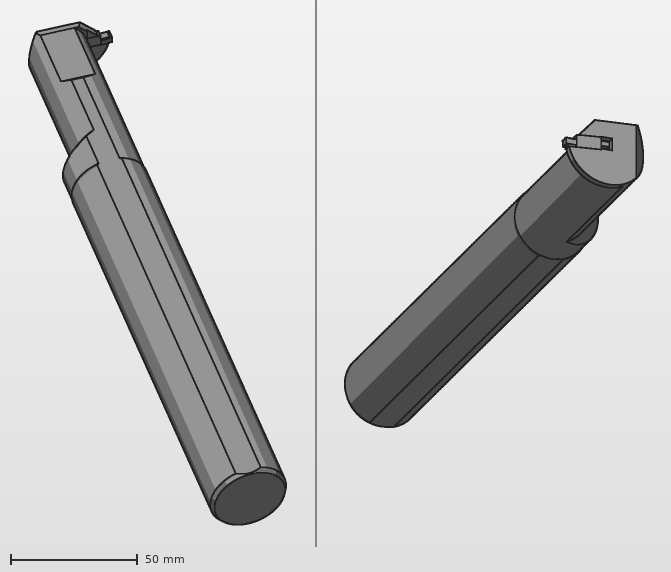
import cadquery as cq


length = 250.0
shank_radius = 15.88
flat_height = 15.0
shank_start = 76.8
shank_bevel = 0.8
end_chamfer_length = 2.0
end_chamfer_depth = 1.12

neck_radius = 15.62
head_radius = 17.2
head_center_y = 8.0
head_end = 59.5
cone_length = 15.0

relief_height = 12.2
relief_tilt = 3.0
relief_end = 29.2
nose_length = 3.8
nose_drop = 1.8
side_chamfer = 5.2

blade_thickness = 3.0
shoulder_thickness = 4.0
slope_low = (20.2, 2.5)
slope_high = (12.5, 11.2)

total_width = 42.0
insert_tip_y = total_width - shank_radius
tip_back_y = 21.5
tip_width = 3.8
chip_groove_y = 23.0
chip_groove_depth = 0.2
tip_bottom_z = -2.62
insert_front_top_z = 2.0
insert_rear_y = 11.0
insert_rear_top_z = 2.8
insert_rear_bottom_z = -2.62
seat_front_y = 25.2
seat_front_z = -3.8
tail_end_y = 7.2
tail_bottom_z = -0.5
tail_top_z = 1.5
tail_recess = 0.8
tip_side_relief = 0.12
relief_slot_y = 6.2
relief_slot_bottom = -2.2
relief_slot_top = 3.0

cut_size = 75.0


def cylinder_x(radius, start, end, center_y=0.0):
    """Cylinder along X between two stations."""
    return cq.Workplane("YZ", origin=(start, center_y, 0)).circle(radius).extrude(end - start)


def prism_x(points, start, end):
    """Polygon given in (Y, Z), extruded along X."""
    return cq.Workplane("YZ", origin=(start, 0, 0)).polyline(points).close().extrude(end - start)


def make_shank():
    end_radius = shank_radius - end_chamfer_depth
    profile = [
        (shank_start, 0),
        (shank_start, neck_radius),
        (shank_start + shank_bevel, shank_radius),
        (length - end_chamfer_length, shank_radius),
        (length, end_radius),
        (length, 0),
    ]
    shank = cq.Workplane("XY").polyline(profile).close().revolve(360, (0, 0, 0), (1, 0, 0))
    flats = cq.Workplane("XY").box(2 * length, cut_size, 2 * flat_height)
    return shank.intersect(flats)


def make_neck():
    """Neck cylinder, narrowed in front to the eccentric head arc by a 45 degree cone."""
    neck = cylinder_x(neck_radius, 0, shank_start)
    cone_end = head_end + cone_length
    profile = [
        (0, 0),
        (0, head_radius),
        (head_end, head_radius),
        (cone_end, head_radius + cone_length),
        (shank_start, head_radius + cone_length),
        (shank_start, 0),
    ]
    envelope = cq.Workplane("XY").polyline(profile).close().revolve(360, (0, 0, 0), (1, 0, 0))
    neck = neck.intersect(envelope.translate((0, head_center_y, 0)))
    top_cut = cq.Workplane("XY", origin=(0, 0, flat_height)).rect(4 * cut_size, cut_size).extrude(cut_size)
    return neck.cut(top_cut)


def make_blade():
    """Full head disc, with a thicker shoulder behind the upper slope."""
    blade = cylinder_x(head_radius, 0, blade_thickness, head_center_y)
    shoulder = cylinder_x(head_radius, 0, shoulder_thickness, head_center_y)
    limit = cq.Workplane("XY").box(2 * cut_size, neck_radius, cut_size, centered=(True, False, False))
    blade = blade.union(shoulder.intersect(limit))
    rise = (slope_high[1] - slope_low[1]) / (slope_low[0] - slope_high[0])
    high_y = slope_high[0] - cut_size / 2
    high_z = slope_high[1] + rise * cut_size / 2
    slope_cut = prism_x(
        [(cut_size, 0), (tip_back_y, 0), slope_low, (high_y, high_z),
         (cut_size, high_z)],
        0, shoulder_thickness)
    return blade.cut(slope_cut)


def make_head_relief():
    """Tilted flat with a bevelled nose in front and a 45 degree run-out behind."""
    ramp = cut_size / 2
    profile = [
        (0, relief_height - nose_drop),
        (nose_length, relief_height),
        (relief_end, relief_height),
        (relief_end + ramp, relief_height + ramp),
        (0, relief_height + ramp),
    ]
    cutter = cq.Workplane("XZ").polyline(profile).close().extrude(cut_size / 2, both=True)
    return cutter.rotate((0, 0, relief_height), (1, 0, relief_height), -relief_tilt)


def make_side_chamfer():
    side_y = head_center_y - head_radius
    corner = [(0, side_y), (0, side_y + side_chamfer), (side_chamfer, side_y)]
    return cq.Workplane("XY").polyline(corner).close().extrude(cut_size / 2, both=True)


def make_insert():
    """Body with a wider cutting tip in front and a narrow tail behind."""
    body_points = [
        (tip_back_y, insert_front_top_z),
        (insert_rear_y, insert_rear_top_z),
        (insert_rear_y, insert_rear_bottom_z),
        (seat_front_y, seat_front_z),
        (seat_front_y, 0),
        (tip_back_y, 0),
    ]
    body = prism_x(body_points, tip_side_relief, blade_thickness)
    tip_points = [
        (insert_tip_y, 0),
        (chip_groove_y, -chip_groove_depth),
        (tip_back_y, 0),
        (tip_back_y, tip_bottom_z),
        (insert_tip_y - tip_side_relief, tip_bottom_z),
    ]
    tail_points = [
        (insert_rear_y, tail_bottom_z),
        (insert_rear_y, tail_top_z),
        (tail_end_y, tail_top_z),
        (tail_end_y, tail_bottom_z),
    ]
    tip = prism_x(tip_points, 0, tip_width)
    tail = prism_x(tail_points, tail_recess, blade_thickness)
    return body.union(tip).union(tail)


def make_seat():
    """Open slot for the insert, continued behind it by a relief slot."""
    slope = (insert_front_top_z - insert_rear_top_z) / (tip_back_y - insert_rear_y)
    front_top_z = insert_rear_top_z + slope * (insert_tip_y - insert_rear_y)
    floor_slope = (seat_front_z - insert_rear_bottom_z) / (seat_front_y - insert_rear_y)
    front_floor_z = insert_rear_bottom_z + floor_slope * (insert_tip_y - insert_rear_y)
    seat = prism_x(
        [(insert_tip_y, front_top_z), (insert_rear_y, insert_rear_top_z),
         (insert_rear_y, insert_rear_bottom_z), (insert_tip_y, front_floor_z)],
        0, blade_thickness)
    slot = prism_x(
        [(relief_slot_y, relief_slot_bottom), (insert_rear_y, relief_slot_bottom),
         (insert_rear_y, relief_slot_top), (relief_slot_y, relief_slot_top)],
        0, blade_thickness)
    return seat.union(slot)


insert = make_insert()

holder = make_neck().union(make_blade())
holder = holder.cut(make_head_relief()).cut(make_side_chamfer())
holder = holder.union(make_shank())
holder = holder.cut(make_seat()).cut(insert)

result = cq.Compound.makeCompound([holder.solids().val(), insert.solids().val()])